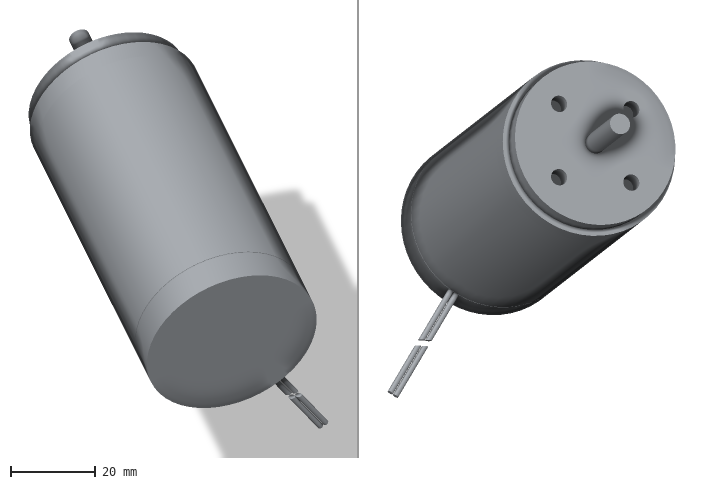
import cadquery as cq
import math

shaft_length = 20.0
pilot_length = 5.0
front_seam_x = 10.0
groove_start_x = 78.7
rear_cap_x = 79.0
rear_face_x = 87.0

shaft_diameter = 5.0
pilot_diameter = 40.0
case_diameter = 43.0
groove_depth = 0.1

mount_hole_diameter = 4.0
mount_hole_spacing = 18.0
mount_hole_depth = 5.0

wire_diameter = 1.4
wire_spacing = 1.5
wire_angle = 30.0
wire_free_length = 30.0
wire_root_depth = 1.5
wire_gap_top_z = -30.75
wire_gap_bottom_z = -32.3

case_radius = case_diameter / 2
wire_x = rear_cap_x + wire_diameter / 2
wire_root_radius = case_radius - wire_root_depth
wire_end_radius = case_radius + wire_free_length
wire_direction = cq.Vector(
    0,
    math.sin(math.radians(wire_angle)),
    -math.cos(math.radians(wire_angle)),
)
wire_side_direction = wire_direction.cross(cq.Vector(1, 0, 0))


def revolve_about_axis(half_section):
    """Revolve a closed half section about the X axis."""
    return cq.Workplane("XY").polyline(half_section).close().revolve(360, (0, 0), (1, 0))


def make_front_section():
    """Shaft, pilot and front flange, up to the front seam."""
    shaft_radius = shaft_diameter / 2
    pilot_radius = pilot_diameter / 2
    return revolve_about_axis([
        (-shaft_length, 0),
        (-shaft_length, shaft_radius),
        (0, shaft_radius),
        (0, pilot_radius),
        (pilot_length, pilot_radius),
        (pilot_length, case_radius),
        (front_seam_x, case_radius),
        (front_seam_x, 0),
    ])


def make_rear_section():
    """Case and rear cap with the shallow groove between them."""
    groove_radius = case_radius - groove_depth
    return revolve_about_axis([
        (front_seam_x, 0),
        (front_seam_x, case_radius),
        (groove_start_x, case_radius),
        (groove_start_x, groove_radius),
        (rear_cap_x, groove_radius),
        (rear_cap_x, case_radius),
        (rear_face_x, case_radius),
        (rear_face_x, 0),
    ])


def make_mount_holes():
    """Four blind holes in the front face."""
    return (
        cq.Workplane("YZ")
        .rect(mount_hole_spacing, mount_hole_spacing, forConstruction=True)
        .vertices()
        .circle(mount_hole_diameter / 2)
        .extrude(mount_hole_depth)
    )


def make_full_wire(side):
    """One uncut wire; side is -1 or +1 across the pair."""
    root = (
        cq.Vector(wire_x, 0, 0)
        + wire_direction * wire_root_radius
        + wire_side_direction * (side * wire_spacing / 2)
    )
    length = wire_end_radius - wire_root_radius
    return cq.Workplane(cq.Solid.makeCylinder(wire_diameter / 2, length, root, wire_direction))


def make_space_below(z):
    """Block reaching from height z to below the wire ends."""
    size = 4 * wire_end_radius
    return cq.Workplane("XY").box(size, size, size).translate((0, 0, z - size / 2))


def make_wire_stub(side):
    """Upper piece of a wire, ending level at the top of the gap."""
    return make_full_wire(side).cut(make_space_below(wire_gap_top_z))


def make_loose_wire(side):
    """Lower piece of a wire, starting level at the bottom of the gap."""
    return make_full_wire(side).intersect(make_space_below(wire_gap_bottom_z))


motor = make_front_section().cut(make_mount_holes())
motor = motor.union(make_rear_section(), clean=False)
for wire_side in (-1, 1):
    motor = motor.union(make_wire_stub(wire_side), clean=False)

loose_wires = [make_loose_wire(wire_side) for wire_side in (-1, 1)]

result = cq.Compound.makeCompound([motor.val(), *[wire.val() for wire in loose_wires]])